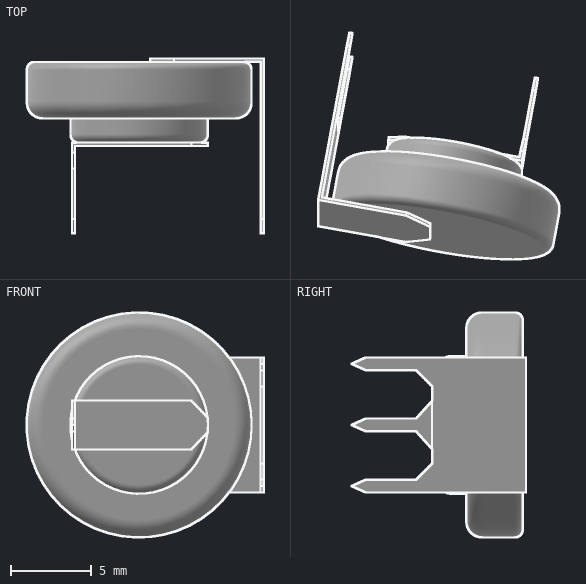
import cadquery as cq

overall_width = 14.65
total_depth = 10.8

can_diameter = 13.9
can_depth = 3.5
can_front_fillet = 1.0
can_back_fillet = 0.5
cap_diameter = 8.5
cap_depth = 1.5
cap_fillet = 0.5

sheet = 0.2
pin_width = 0.8
pin_tip_length = 0.9
pin_length = 4.0
shoulder_to_pin = 1.0

front_tab_height = 3.0
front_tab_left = -4.15
front_tab_end_height = 0.88
front_tab_end_length = 1.03

back_plate_height = 8.35
back_plate_left = 0.67
back_plate_end_height = 4.01
back_plate_end_length = 1.5

can_radius = can_diameter / 2
cap_radius = cap_diameter / 2
cap_face_y = -(can_depth + cap_depth)
front_tab_right = cap_radius
back_plate_right = overall_width - can_radius
point_y = sheet - total_depth
pin_base_y = point_y + pin_length
shoulder_y = pin_base_y + shoulder_to_pin
tip_base_y = point_y + pin_tip_length


def disc(diameter, depth, back_y):
    """Disc whose axis is Y, reaching forward (-Y) from back_y."""
    return cq.Workplane("XZ", origin=(0, back_y, 0)).circle(diameter / 2).extrude(depth)


def make_cell():
    can = disc(can_diameter, can_depth, 0)
    can = can.faces("<Y").edges().fillet(can_front_fillet)
    can = can.faces(">Y").edges().fillet(can_back_fillet)
    cap = disc(cap_diameter, cap_depth, -can_depth)
    cap = cap.faces("<Y").edges().fillet(cap_fillet)
    return can.union(cap)


def contact_sheet(left, right, height, back_y):
    """Rectangular sheet lying flat against a face of the cell."""
    return (
        cq.Workplane("XZ", origin=((left + right) / 2, back_y, 0))
        .rect(right - left, height)
        .extrude(sheet)
    )


def end_corners(end_x, inward, length, height, end_height, back_y):
    """Two triangles to cut off the end of a contact sheet; inward is +1 or -1 along X."""
    cutters = cq.Workplane("XZ", origin=(0, back_y, 0))
    for side in (1, -1):
        corner = [
            (end_x, side * height / 2),
            (end_x + inward * length, side * height / 2),
            (end_x, side * end_height / 2),
        ]
        cutters = cutters.polyline(corner).close()
    return cutters.extrude(sheet)


def upright(outline, left):
    """Sheet standing across X, from an outline of (Y, Z) points."""
    return cq.Workplane("YZ", origin=(left, 0, 0)).polyline(outline).close().extrude(sheet)


def make_front_terminal():
    half_tab = front_tab_height / 2
    half_pin = pin_width / 2
    contact = contact_sheet(front_tab_left, front_tab_right, front_tab_height, cap_face_y)
    contact = contact.cut(end_corners(
        front_tab_right, -1, front_tab_end_length, front_tab_height, front_tab_end_height, cap_face_y
    ))
    leg = upright([
        (cap_face_y, half_tab),
        (shoulder_y, half_tab),
        (pin_base_y, half_pin),
        (tip_base_y, half_pin),
        (point_y, 0),
        (tip_base_y, -half_pin),
        (pin_base_y, -half_pin),
        (shoulder_y, -half_tab),
        (cap_face_y, -half_tab),
    ], front_tab_left)
    return contact.union(leg)


def make_back_terminal():
    outer_z = back_plate_height / 2
    point_z = outer_z - pin_width / 2
    inner_z = outer_z - pin_width
    notch_z = inner_z - shoulder_to_pin
    contact = contact_sheet(back_plate_left, back_plate_right, back_plate_height, sheet)
    contact = contact.cut(end_corners(
        back_plate_left, 1, back_plate_end_length, back_plate_height, back_plate_end_height, sheet
    ))
    upper_half = [
        (sheet, outer_z),
        (tip_base_y, outer_z),
        (point_y, point_z),
        (tip_base_y, inner_z),
        (pin_base_y, inner_z),
        (shoulder_y, notch_z),
    ]
    lower_half = [(y, -z) for y, z in reversed(upper_half)]
    leg = upright(upper_half + lower_half, back_plate_right - sheet)
    return contact.union(leg)


cell = make_cell()
front_terminal = make_front_terminal()
back_terminal = make_back_terminal()

result = cq.Compound.makeCompound([cell.val(), front_terminal.val(), back_terminal.val()])